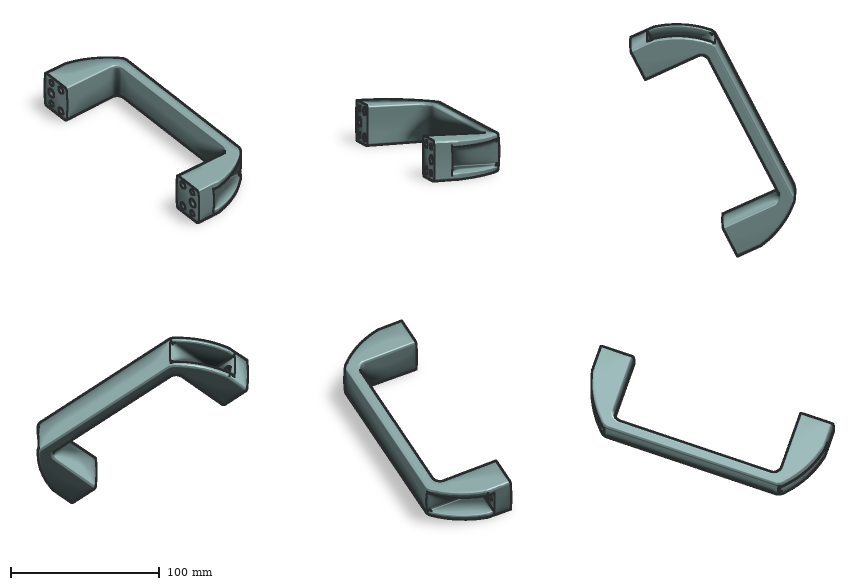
import cadquery as cq
import math

LENGTH = 166.88
REACH = 53.43
BASE_HEIGHT = 28.0
DRAFT_ANGLE = 0.87

LEG_STRAIGHT = 17.4
SHOULDER_X = 65.8
SHOULDER_Y = 50.4
SHOULDER_RADIUS = 67.0
CORNER_X = 60.6
CORNER_RADIUS = 8.0

CROWN_RADIUS = 100.0
CUT_CLEARANCE = 2.0

OPENING_HALF = 58.6
BAR_INNER_Y = 44.3
OPENING_CORNER_RADIUS = 5.5

EDGE_RADIUS = 2.0

RECESS_FLOOR_X = 62.0
RECESS_FLOOR_END_Y = 51.0
RECESS_EXIT_RADIUS = 8.0
RECESS_START_Y = 12.6
RECESS_HEIGHT = 17.6
RECESS_FLOOR_RADIUS = 1.5
RECESS_RIM_RADIUS = 1.5

THROUGH_DIAMETER = 6.2
THROUGH_X = 76.1
PIN_DIAMETER = 4.2
PIN_X = 75.7
SCREW_DIAMETER = 5.2
SCREW_X = 65.7
HOLE_OFFSET_Z = 9.0
BLIND_DEPTH = 10.0

HALF_LENGTH = LENGTH / 2
HALF_HEIGHT = BASE_HEIGHT / 2


def crown_sag(z):
    """How far a crowned wall falls back at height z from the middle."""
    return CROWN_RADIUS - math.sqrt(CROWN_RADIUS**2 - z**2)


def arc_middle(start, end, radius):
    """Middle of the short arc bulging to the left of the line from start to end."""
    half_chord = math.dist(start, end) / 2
    sagitta = radius - math.sqrt(radius**2 - half_chord**2)
    along_x = (end[0] - start[0]) / (2 * half_chord)
    along_y = (end[1] - start[1]) / (2 * half_chord)
    middle_x = (start[0] + end[0]) / 2
    middle_y = (start[1] + end[1]) / 2
    return (middle_x - along_y * sagitta, middle_y + along_x * sagitta)


def outer_path(start_y=0):
    """Outer outline from start_y on the left leg over the bar to the same place on the right leg."""
    foot = (-HALF_LENGTH, start_y)
    knee = (-HALF_LENGTH, LEG_STRAIGHT)
    shoulder = (-SHOULDER_X, SHOULDER_Y)
    corner = (-CORNER_X, REACH)
    shoulder_middle = arc_middle(knee, shoulder, SHOULDER_RADIUS)
    corner_middle = arc_middle(shoulder, corner, CORNER_RADIUS)

    def mirror(point):
        return (-point[0], point[1])

    return (
        cq.Workplane("XY")
        .moveTo(*foot)
        .lineTo(*knee)
        .threePointArc(shoulder_middle, shoulder)
        .threePointArc(corner_middle, corner)
        .lineTo(*mirror(corner))
        .threePointArc(mirror(corner_middle), mirror(shoulder))
        .threePointArc(mirror(shoulder_middle), mirror(knee))
        .lineTo(*mirror(foot))
    )


def crowned_block():
    """Solid block inside the outer outline, with its wall crowned along Z."""
    core = outer_path().close().extrude(HALF_HEIGHT, both=True)
    edge_x = -HALF_LENGTH + crown_sag(HALF_HEIGHT)
    section = (
        cq.Workplane("XZ")
        .moveTo(edge_x, -HALF_HEIGHT)
        .threePointArc((-HALF_LENGTH, 0), (edge_x, HALF_HEIGHT))
        .lineTo(-HALF_LENGTH - CUT_CLEARANCE, HALF_HEIGHT)
        .lineTo(-HALF_LENGTH - CUT_CLEARANCE, -HALF_HEIGHT)
        .close()
    )
    shaving = section.sweep(outer_path(), transition="right")
    return core.cut(shaving)


def drafted_envelope():
    """Prism along X whose top and bottom faces close in away from the feet."""
    far_half = HALF_HEIGHT - REACH * math.tan(math.radians(DRAFT_ANGLE))
    return (
        cq.Workplane("YZ")
        .polyline([(0, -HALF_HEIGHT), (REACH, -far_half), (REACH, far_half), (0, HALF_HEIGHT)])
        .close()
        .extrude(HALF_LENGTH, both=True)
    )


def opening():
    """Space between the legs: the leg walls bulge into it and the bar face is flat."""
    edge_x = OPENING_HALF + crown_sag(HALF_HEIGHT)
    return (
        cq.Workplane("XZ")
        .moveTo(-edge_x, -HALF_HEIGHT)
        .lineTo(edge_x, -HALF_HEIGHT)
        .threePointArc((OPENING_HALF, 0), (edge_x, HALF_HEIGHT))
        .lineTo(-edge_x, HALF_HEIGHT)
        .threePointArc((-OPENING_HALF, 0), (-edge_x, -HALF_HEIGHT))
        .close()
        .extrude(-BAR_INNER_Y)
        .faces(">Y").edges("<X or >X")
        .fillet(OPENING_CORNER_RADIUS)
    )


def recess_rim():
    """Left recess mouth, rounded along both long sides and following the outer wall."""
    half_height = RECESS_HEIGHT / 2
    rim_z = half_height + RECESS_RIM_RADIUS
    rim_x = -HALF_LENGTH + crown_sag(rim_z)
    root_x = rim_x + RECESS_RIM_RADIUS
    round_offset = RECESS_RIM_RADIUS * math.sqrt(0.5)
    round_x = root_x - round_offset
    round_z = rim_z - round_offset
    outside_x = -HALF_LENGTH - CUT_CLEARANCE
    return (
        cq.Workplane("XZ", origin=(0, RECESS_START_Y, 0))
        .moveTo(outside_x, -rim_z)
        .lineTo(rim_x, -rim_z)
        .threePointArc((round_x, -round_z), (root_x, -half_height))
        .lineTo(root_x, half_height)
        .threePointArc((round_x, round_z), (rim_x, rim_z))
        .lineTo(outside_x, rim_z)
        .close()
        .sweep(outer_path(RECESS_START_Y), transition="right")
    )


def mouth_limit(depth, end_y):
    """Block that keeps the rounded mouth above the recess floor."""
    return (
        cq.Workplane("XY")
        .box(depth, end_y, BASE_HEIGHT)
        .translate((-RECESS_FLOOR_X - depth / 2, end_y / 2, 0))
    )


def recess():
    """Pocket open to the outer side of the left leg, its floor rolling out at the bar end."""
    depth = HALF_LENGTH - RECESS_FLOOR_X + CUT_CLEARANCE
    outside_x = -RECESS_FLOOR_X - depth
    end_y = REACH + CUT_CLEARANCE
    roll_angle = math.asin((end_y - RECESS_FLOOR_END_Y) / RECESS_EXIT_RADIUS)

    def roll_point(angle):
        return (
            -RECESS_FLOOR_X + RECESS_EXIT_RADIUS * (1 - math.cos(angle)),
            RECESS_FLOOR_END_Y + RECESS_EXIT_RADIUS * math.sin(angle),
        )

    pocket = (
        cq.Workplane("XY")
        .moveTo(outside_x, RECESS_START_Y)
        .lineTo(-RECESS_FLOOR_X, RECESS_START_Y)
        .lineTo(-RECESS_FLOOR_X, RECESS_FLOOR_END_Y)
        .threePointArc(roll_point(roll_angle / 2), roll_point(roll_angle))
        .lineTo(outside_x, end_y)
        .close()
        .extrude(RECESS_HEIGHT / 2, both=True)
    )
    floor = pocket.faces(cq.selectors.NearestToPointSelector((-RECESS_FLOOR_X, REACH / 2, 0)))
    pocket = pocket.newObject(floor.edges("not >Y").vals()).fillet(RECESS_FLOOR_RADIUS)
    return pocket.union(recess_rim().intersect(mouth_limit(depth, end_y)))


def hole(x, z, diameter, depth):
    """Round hole running from the foot plane toward the bar."""
    return cq.Workplane("XZ").center(x, z).circle(diameter / 2).extrude(-depth)


def rounded_body():
    """Drafted handle with its long edges rounded."""
    body = crowned_block().intersect(drafted_envelope()).cut(opening())
    broad_faces = body.faces(">Z or <Z")
    return body.newObject(broad_faces.edges("not(<Y)").vals()).fillet(EDGE_RADIUS)


def foot_holes(side):
    """Holes in the foot of one leg: one passing into the recess and four blind ones."""
    holes = hole(side * THROUGH_X, 0, THROUGH_DIAMETER, REACH)
    for z in (-HOLE_OFFSET_Z, HOLE_OFFSET_Z):
        holes = holes.union(hole(side * PIN_X, z, PIN_DIAMETER, BLIND_DEPTH))
        holes = holes.union(hole(side * SCREW_X, z, SCREW_DIAMETER, BLIND_DEPTH))
    return holes


left_recess = recess()
right_recess = left_recess.mirror("YZ")

result = rounded_body().cut(left_recess).cut(right_recess)
for leg_side in (-1, 1):
    result = result.cut(foot_holes(leg_side))